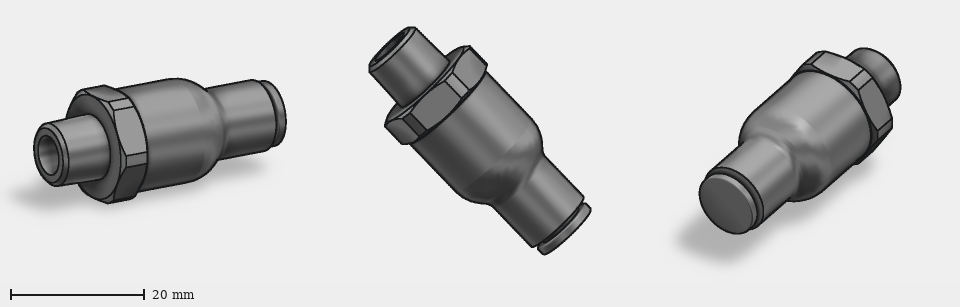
import cadquery as cq
import math

total_length = 38.8

stud_length = 7.8
stud_base_radius = 5.0
stud_taper = 1 / 16
tip_chamfer = 0.62
bore_radius = 3.0

hex_sides = 6
hex_flats = 16.0
hex_corner_diameter = 17.5
hex_thickness = 4.65
hex_face_radius = 7.95
land_thickness = 0.1
hex_chamfer_angle = 30.0

body_radius = 7.88
body_length = 10.1
dome_radius = 5.9
throat_radius = 1.98
shoulder_angle = 41.0
sleeve_radius = 5.45

collar_radius = 4.95
collar_thickness = 1.32
collar_edge_radius = 0.25
neck_radius = 3.6
neck_length = 0.8

tip_y = -total_length / 2
hex_front_y = tip_y + stud_length
hex_back_y = hex_front_y + hex_thickness
land_y = hex_back_y + land_thickness
dome_y = land_y + body_length
collar_end_y = total_length / 2
collar_y = collar_end_y - collar_thickness
sleeve_end_y = collar_y - neck_length


def revolve_about_y(profile):
    """Turn a closed profile, drawn with radius along X, about the Y axis."""
    return profile.close().revolve(360, (0, 0, 0), (0, 1, 0))


def arc_point(center, radius, angle):
    """Point on a circle, with the angle in degrees measured from the radial direction to +Y."""
    turn = math.radians(angle)
    return (center[0] + radius * math.cos(turn), center[1] + radius * math.sin(turn))


def make_stud():
    def radius_at(distance_from_tip):
        return stud_base_radius - (stud_length - distance_from_tip) * stud_taper / 2

    chamfer_radius = radius_at(tip_chamfer)
    return revolve_about_y(
        cq.Workplane("XY")
        .moveTo(0, tip_y)
        .lineTo(chamfer_radius - tip_chamfer, tip_y)
        .lineTo(chamfer_radius, tip_y + tip_chamfer)
        .lineTo(stud_base_radius, hex_front_y)
        .lineTo(0, hex_front_y)
    )


def make_hex_nut():
    corner_radius = hex_corner_diameter / 2
    sharp_corner_diameter = hex_flats / math.cos(math.pi / hex_sides)
    prism = (
        cq.Workplane("XZ", origin=(0, hex_back_y, 0))
        .polygon(hex_sides, sharp_corner_diameter)
        .extrude(hex_thickness)
    )
    chamfer = (corner_radius - hex_face_radius) * math.tan(math.radians(hex_chamfer_angle))
    envelope = revolve_about_y(
        cq.Workplane("XY")
        .moveTo(0, hex_front_y)
        .lineTo(hex_face_radius, hex_front_y)
        .lineTo(corner_radius, hex_front_y + chamfer)
        .lineTo(corner_radius, hex_back_y - chamfer)
        .lineTo(hex_face_radius, hex_back_y)
        .lineTo(0, hex_back_y)
    )
    return prism.intersect(envelope)


def make_body():
    dome_center = (body_radius - dome_radius, dome_y)
    dome_end = arc_point(dome_center, dome_radius, shoulder_angle)

    arc_drop = 1 - math.cos(math.radians(shoulder_angle))
    throat_start_radius = sleeve_radius + throat_radius * arc_drop
    cone_length = (dome_end[0] - throat_start_radius) / math.tan(math.radians(shoulder_angle))
    throat_start = (throat_start_radius, dome_end[1] + cone_length)
    throat_end_y = throat_start[1] + throat_radius * math.sin(math.radians(shoulder_angle))
    throat_center = (sleeve_radius + throat_radius, throat_end_y)
    throat_middle = arc_point(throat_center, throat_radius, 180 + shoulder_angle / 2)

    return revolve_about_y(
        cq.Workplane("XY")
        .moveTo(0, hex_back_y)
        .lineTo(hex_face_radius, hex_back_y)
        .lineTo(hex_face_radius, land_y)
        .lineTo(body_radius, land_y)
        .lineTo(body_radius, dome_y)
        .threePointArc(arc_point(dome_center, dome_radius, shoulder_angle / 2), dome_end)
        .lineTo(*throat_start)
        .threePointArc(throat_middle, (sleeve_radius, throat_end_y))
        .lineTo(sleeve_radius, sleeve_end_y)
        .lineTo(0, sleeve_end_y)
    )


def make_collar():
    neck = cq.Workplane("XZ", origin=(0, collar_y, 0)).circle(neck_radius).extrude(neck_length)
    flange = (
        cq.Workplane("XZ", origin=(0, collar_end_y, 0))
        .circle(collar_radius)
        .extrude(collar_thickness)
        .edges("%CIRCLE")
        .fillet(collar_edge_radius)
    )
    return neck.union(flange)


def make_bore():
    """Blind bore through the stud and the nut."""
    depth = stud_length + hex_thickness
    return cq.Workplane("XZ", origin=(0, tip_y + depth, 0)).circle(bore_radius).extrude(depth)


result = make_stud().union(make_hex_nut()).union(make_body()).union(make_collar()).cut(make_bore())